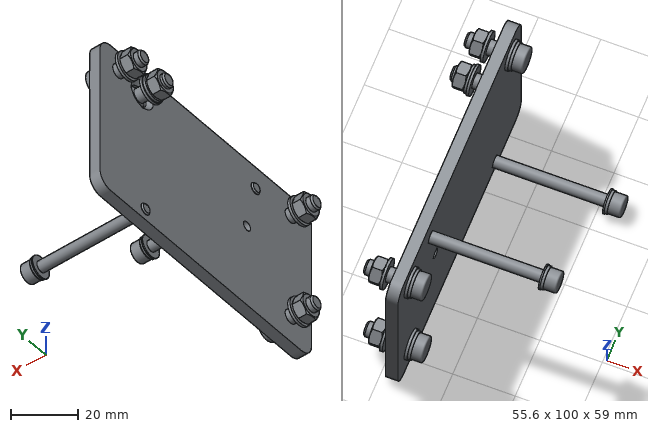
import cadquery as cq
import math


PLATE_THICKNESS = 4.0
PLATE_LENGTH = 100.0
PLATE_HEIGHT = 59.0
CORNER_RADIUS = 5.0
OPEN_HOLE_DIAMETER = 3.3
COUNTERSINK_DIAMETER = 10.4
COUNTERSINK_BORE_DIAMETER = 7.4

UPPER_BOLT_Z = 21.5
LOWER_BOLT_Z = -19.5
LEFT_BOLT_Y = 41.5
RIGHT_BOLT_Y = -40.0
CAP_BOLT_PLACES = [
    (LEFT_BOLT_Y, UPPER_BOLT_Z),
    (RIGHT_BOLT_Y, UPPER_BOLT_Z),
    (RIGHT_BOLT_Y, LOWER_BOLT_Z),
]
SUNK_BOLT_PLACE = (30.0, 20.5)
LONG_SCREW_PLACES = [(-23.4, 20.7), (28.6, -25.3)]
OPEN_HOLE_PLACE = (-19.5, 2.6)

BOLT_DIAMETER = 5.0
BOLT_TIP_X = -10.2
BOLT_TIP_LENGTH = 0.6
BOLT_TIP_INSET = 0.5
WASHER_DIAMETER = 10.0
WASHER_THICKNESS = 0.9
SPRING_DIAMETER = 9.2
SPRING_THICKNESS = 0.9
CAP_HEAD_DIAMETER = 8.5
CAP_HEAD_HEIGHT = 3.5
HEAD_ROUNDING = 0.5

NUT_WASHER_GAP = 3.0
NUT_WASHER_X = -NUT_WASHER_GAP - WASHER_THICKNESS
NUT_HEIGHT = 4.0
NUT_FLATS = 8.0
NUT_FACE_DIAMETER = 7.6
NUT_TURN = 10.0
NUT_CHAMFER_ANGLE = 30.0

SUNK_HEAD_DIAMETER = 10.0
SUNK_HEAD_HEIGHT = 2.8

SCREW_DIAMETER = 4.0
SCREW_TIP_X = -0.6
SCREW_TIP_LENGTH = 0.5
SCREW_TIP_INSET = 0.4
SCREW_WASHER_X = 40.0
SCREW_WASHER_DIAMETER = 8.0
SCREW_WASHER_THICKNESS = 0.5
SCREW_SPRING_DIAMETER = 7.6
SCREW_SPRING_THICKNESS = 0.9
SCREW_HEAD_DIAMETER = 7.0
SCREW_HEAD_HEIGHT = 4.0


def disc(x_start, length, diameter):
    """Cylinder on the X axis, running towards +X from x_start."""
    return cq.Workplane("YZ").workplane(offset=x_start).circle(diameter / 2).extrude(length)


def turned(outline):
    """Solid turned about the X axis from an outline of (x, radius) points."""
    axis_start = (outline[0][0], 0)
    axis_end = (outline[-1][0], 0)
    profile = [axis_start, *outline, axis_end]
    return cq.Workplane("XY").polyline(profile).close().revolve(360, (0, 0, 0), (1, 0, 0))


def at(shape, place):
    """Move a shape from the X axis to a (Y, Z) place on the plate."""
    return shape.translate((0, *place))


def shank(tip_x, end_x, diameter, tip_length, tip_inset):
    """Round shank with a tapered tip at its -X end."""
    radius = diameter / 2
    return turned([
        (tip_x, radius - tip_inset),
        (tip_x + tip_length, radius),
        (end_x, radius),
    ])


def round_head(x_start, height, diameter):
    """Cylindrical head with its outer end edge rounded."""
    return disc(x_start, height, diameter).faces(">X").edges().fillet(HEAD_ROUNDING)


def hex_nut(x_end):
    """Hexagon nut whose +X face is at x_end, with its corners chamfered on both faces."""
    x_start = x_end - NUT_HEIGHT
    x_middle = x_end - NUT_HEIGHT / 2
    corner_diameter = NUT_FLATS / math.cos(math.pi / 6)
    prism = (
        cq.Workplane("YZ").workplane(offset=x_start)
        .polygon(6, corner_diameter)
        .extrude(NUT_HEIGHT)
        .rotate((0, 0, 0), (1, 0, 0), -NUT_TURN)
    )
    face_radius = NUT_FACE_DIAMETER / 2
    middle_radius = face_radius + NUT_HEIGHT / 2 / math.tan(math.radians(NUT_CHAMFER_ANGLE))
    double_cone = turned([(x_start, face_radius), (x_middle, middle_radius), (x_end, face_radius)])
    return prism.intersect(double_cone)


def nut_side_washer():
    return disc(NUT_WASHER_X, WASHER_THICKNESS, WASHER_DIAMETER)


def cap_bolt():
    """Bolt with a cylindrical head, two washers under the head, and a washer and nut."""
    spring_x = PLATE_THICKNESS + WASHER_THICKNESS
    head_x = spring_x + SPRING_THICKNESS
    return (
        shank(BOLT_TIP_X, head_x, BOLT_DIAMETER, BOLT_TIP_LENGTH, BOLT_TIP_INSET)
        .union(disc(PLATE_THICKNESS, WASHER_THICKNESS, WASHER_DIAMETER))
        .union(disc(spring_x, SPRING_THICKNESS, SPRING_DIAMETER))
        .union(round_head(head_x, CAP_HEAD_HEIGHT, CAP_HEAD_DIAMETER))
        .union(nut_side_washer())
        .union(hex_nut(NUT_WASHER_X))
    )


def sunk_bolt():
    """Bolt with a countersunk head inside the plate, two washers and a nut."""
    neck_x = PLATE_THICKNESS - SUNK_HEAD_HEIGHT
    neck_radius = BOLT_DIAMETER / 2
    rim_radius = SUNK_HEAD_DIAMETER / 2
    head = turned([
        (neck_x, neck_radius),
        (neck_x + rim_radius - neck_radius, rim_radius),
        (PLATE_THICKNESS, rim_radius),
    ])
    spring_x = NUT_WASHER_X - SPRING_THICKNESS
    return (
        shank(BOLT_TIP_X, neck_x, BOLT_DIAMETER, BOLT_TIP_LENGTH, BOLT_TIP_INSET)
        .union(head)
        .union(nut_side_washer())
        .union(disc(spring_x, SPRING_THICKNESS, SPRING_DIAMETER))
        .union(hex_nut(spring_x))
    )


def countersink():
    """Through hole with a 45 degree flank that is widest on the -X face of the plate."""
    mouth_radius = COUNTERSINK_DIAMETER / 2
    bore_radius = COUNTERSINK_BORE_DIAMETER / 2
    return turned([
        (0, mouth_radius),
        (mouth_radius - bore_radius, bore_radius),
        (PLATE_THICKNESS, bore_radius),
    ])


def bolted_plate():
    """Plate with its holes, joined to the four fixed bolts."""
    body = (
        cq.Workplane("YZ").rect(PLATE_LENGTH, PLATE_HEIGHT).extrude(PLATE_THICKNESS)
        .edges("|X").fillet(CORNER_RADIUS)
    )
    body = body.cut(at(disc(0, PLATE_THICKNESS, OPEN_HOLE_DIAMETER), OPEN_HOLE_PLACE))
    for place in LONG_SCREW_PLACES:
        body = body.cut(at(disc(0, PLATE_THICKNESS, SCREW_DIAMETER), place))

    body = body.cut(at(countersink(), SUNK_BOLT_PLACE))
    body = body.union(at(sunk_bolt(), SUNK_BOLT_PLACE))
    for place in CAP_BOLT_PLACES:
        body = body.union(at(cap_bolt(), place))
    return body


def long_screw():
    """Long screw with a cylindrical head and two washers under the head."""
    spring_x = SCREW_WASHER_X + SCREW_WASHER_THICKNESS
    head_x = spring_x + SCREW_SPRING_THICKNESS
    return (
        shank(SCREW_TIP_X, head_x, SCREW_DIAMETER, SCREW_TIP_LENGTH, SCREW_TIP_INSET)
        .union(disc(SCREW_WASHER_X, SCREW_WASHER_THICKNESS, SCREW_WASHER_DIAMETER))
        .union(disc(spring_x, SCREW_SPRING_THICKNESS, SCREW_SPRING_DIAMETER))
        .union(round_head(head_x, SCREW_HEAD_HEIGHT, SCREW_HEAD_DIAMETER))
    )


plate = bolted_plate()
long_screws = [at(long_screw(), place) for place in LONG_SCREW_PLACES]

result = cq.Compound.makeCompound([
    plate.solids().val(),
    *[screw.solids().val() for screw in long_screws],
])